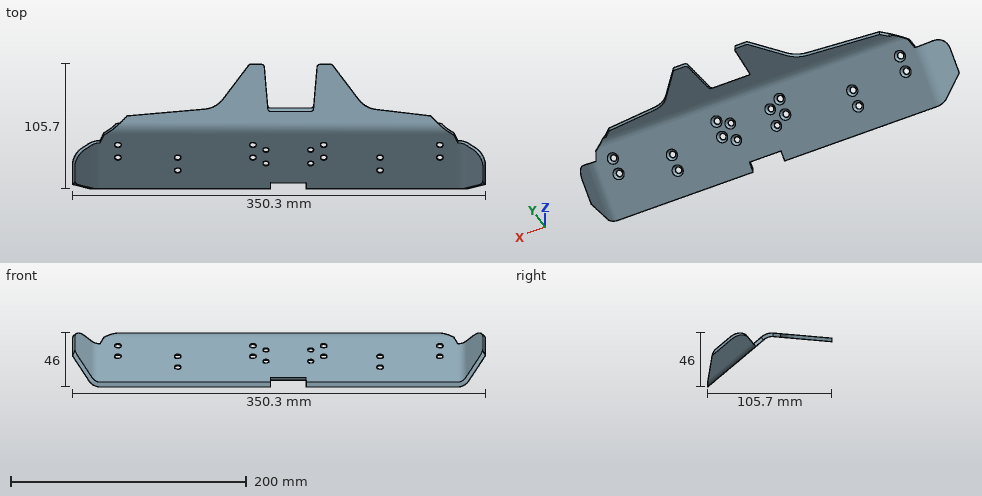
import cadquery as cq
import math


overall_width = 350.34
overall_depth = 105.71
overall_height = 45.98

thickness = 3.2
inner_radius = 10.0
outer_radius = inner_radius + thickness
plate_slope = 40.0
bend_angle = 45.0
flange_drop = bend_angle - plate_slope

half_width = 151.7
notch_width = 30.0
notch_depth = 9.0

prong_center_x = 10.0
bend_end_half = 134.8
shoulder_end_half = 128.7
shoulder_end_y = 6.2
shoulder_root_half = 63.2
shoulder_root_y = 12.8
shoulder_radius = 22.0
prong_outer_half = 35.0
prong_corner_radius = 2.5

slot_floor_y = 79.3
slot_end_y = 112.0
slot_floor_half = 19.3
slot_end_half = 23.2
slot_corner_radius = 2.0

wing_length = 53.5
wing_rear_radius = 11.5
wing_front_radius = 10.0
wing_front_tilt = 9.5

relief_x = 148.5
relief_y = 62.0

hole_diameter = 5.5
small_hole_diameter = 5.0
hole_land = 1.0
upper_row_y = 51.0
middle_row_y = 37.0
lower_row_y = 22.8
inner_row_ys = (45.5, 30.5)
outer_hole_x = 136.5
mid_hole_x = 85.8
cluster_center_x = 8.0
cluster_outer_x = 30.0
cluster_inner_x = 19.0

tool_depth = 60.0
margin = 20.0

slope_sin = math.sin(math.radians(plate_slope))
slope_cos = math.cos(math.radians(plate_slope))
drop_sin = math.sin(math.radians(flange_drop))
drop_cos = math.cos(math.radians(flange_drop))
bend_sin = math.sin(math.radians(bend_angle))
bend_cos = math.cos(math.radians(bend_angle))
half_sin = math.sin(math.radians(bend_angle / 2))
half_cos = math.cos(math.radians(bend_angle / 2))

plate_length = (overall_height - outer_radius + inner_radius * slope_cos) / slope_sin
bend_axis_depth = plate_length * slope_cos + inner_radius * slope_sin
flange_length = (overall_depth - bend_axis_depth - outer_radius * drop_sin) / drop_cos
bend_end_y = plate_length + outer_radius * bend_sin
bend_end_z = outer_radius * bend_cos - inner_radius
nose_top_y = thickness * slope_sin / slope_cos


def arc_point(center, radius, across, along):
    return (center[0] + radius * across, center[1] + radius * along)


def make_plate():
    """Plate and its rear bend, with a nose that stands upright after tilting."""
    center = (plate_length, -inner_radius)
    profile = (
        cq.Workplane("YZ")
        .moveTo(0, 0)
        .lineTo(plate_length, 0)
        .threePointArc(
            arc_point(center, inner_radius, half_sin, half_cos),
            arc_point(center, inner_radius, bend_sin, bend_cos),
        )
        .lineTo(bend_end_y, bend_end_z)
        .threePointArc(
            arc_point(center, outer_radius, half_sin, half_cos),
            (plate_length, thickness),
        )
        .lineTo(nose_top_y, thickness)
        .close()
    )
    return profile.extrude(half_width, both=True)


def corner_relief(side):
    """Tool that trims one rear corner of the plate, square to the plate."""
    slope = (bend_end_y - relief_y) / (relief_x - bend_end_half)
    inner_x = bend_end_half - margin
    inner_y = bend_end_y + slope * margin
    outline = [
        (side * (half_width + margin), wing_length),
        (side * half_width, wing_length),
        (side * relief_x, relief_y),
        (side * inner_x, inner_y),
        (side * (half_width + margin), inner_y),
    ]
    return cq.Workplane("XY").polyline(outline).close().extrude(tool_depth, both=True)


def make_flange():
    """Rear flange, drawn flat and then placed at the end of the rear bend."""
    prong_left = prong_center_x - prong_outer_half
    prong_right = prong_center_x + prong_outer_half
    root_left = prong_center_x - shoulder_root_half
    root_right = prong_center_x + shoulder_root_half
    outline = [
        (-bend_end_half, 0),
        (-shoulder_end_half, shoulder_end_y),
        (root_left, shoulder_root_y),
        (prong_left, flange_length),
        (prong_right, flange_length),
        (root_right, shoulder_root_y),
        (shoulder_end_half, shoulder_end_y),
        (bend_end_half, 0),
    ]
    flange = cq.Workplane("XY").polyline(outline).close().extrude(-thickness)
    flange = flange.edges("|Z and >Y").fillet(prong_corner_radius)
    for root_x in (root_left, root_right):
        root = cq.selectors.NearestToPointSelector((root_x, shoulder_root_y, -thickness / 2))
        flange = flange.edges("|Z").edges(root).fillet(shoulder_radius)
    flange = flange.rotate((0, 0, 0), (1, 0, 0), -bend_angle)
    return flange.translate((0, bend_end_y, bend_end_z))


def make_slot():
    """Tool for the tapered slot between the prongs."""
    outline = [
        (prong_center_x - slot_floor_half, slot_floor_y),
        (prong_center_x + slot_floor_half, slot_floor_y),
        (prong_center_x + slot_end_half, slot_end_y),
        (prong_center_x - slot_end_half, slot_end_y),
    ]
    slot = cq.Workplane("XY").polyline(outline).close().extrude(tool_depth, both=True)
    return slot.edges("|Z and <Y").fillet(slot_corner_radius)


def round_prong_tips(body):
    """Round the prong corners beside the slot."""
    tips = body.faces(">(0, 1, -1)").edges("not |X")
    beside_slot = tips.filter(lambda e: abs(e.Center().x - prong_center_x) < slot_end_half)
    return beside_slot.fillet(prong_corner_radius)


def wing_front_trim(tip_z):
    """Prism along X with the side shape of a wing: leaning front, rounded front tip."""
    front_lean = math.tan(math.radians(plate_slope + wing_front_tilt))
    front_tip_y = nose_top_y + (tip_z - thickness) * front_lean
    outline = [
        (0, 0),
        (wing_length, 0),
        (wing_length, tip_z),
        (front_tip_y, tip_z),
        (nose_top_y, thickness),
    ]
    prism = cq.Workplane("YZ").polyline(outline).close().extrude(overall_width)
    return prism.edges("|X and >Z").edges("<Y").fillet(wing_front_radius)


def make_wing():
    """Right-hand wing with its bend, starting at the edge of the plate."""
    center = (half_width, outer_radius)
    bend_out = arc_point(center, outer_radius, bend_sin, -bend_cos)
    bend_in = arc_point(center, inner_radius, bend_sin, -bend_cos)
    run = overall_width / 2 - bend_out[0]
    rise = run * bend_sin / bend_cos
    tip_z = bend_in[1] + rise
    profile = (
        cq.Workplane("XZ")
        .moveTo(half_width, 0)
        .threePointArc(arc_point(center, outer_radius, half_sin, -half_cos), bend_out)
        .lineTo(bend_out[0] + run, bend_out[1] + rise)
        .lineTo(bend_in[0] + run, tip_z)
        .lineTo(*bend_in)
        .threePointArc(
            arc_point(center, inner_radius, half_sin, -half_cos),
            (half_width, thickness),
        )
        .close()
    )
    wing = profile.extrude(-wing_length)
    wing = wing.faces(">(1, 0, 1)").edges(">Y").fillet(wing_rear_radius)
    return wing.intersect(wing_front_trim(tip_z))


def make_notch():
    """Tool for the notch in the nose, square to the plate."""
    notch = cq.Workplane("XY").center(cluster_center_x, 0)
    return notch.rect(notch_width, 2 * notch_depth).extrude(thickness)


def large_hole_points():
    points = []
    for side in (-1, 1):
        for y in (upper_row_y, middle_row_y):
            points.append((side * outer_hole_x, y))
            points.append((cluster_center_x + side * cluster_outer_x, y))
        for y in (middle_row_y, lower_row_y):
            points.append((side * mid_hole_x, y))
    return points


def small_hole_points():
    points = []
    for side in (-1, 1):
        for y in inner_row_ys:
            points.append((cluster_center_x + side * cluster_inner_x, y))
    return points


def drill(body, points, diameter):
    """Holes through the plate with a 90 degree countersink on the underside."""
    sink_depth = thickness - hole_land
    radius = diameter / 2
    profile = [(0, 0), (radius + sink_depth, 0), (radius, sink_depth), (radius, thickness), (0, thickness)]
    hole = cq.Workplane("XZ").polyline(profile).close().revolve(360, (0, 0), (0, 1))
    for x, y in points:
        body = body.cut(hole.translate((x, y, 0)))
    return body


plate = make_plate()
for side in (-1, 1):
    plate = plate.cut(corner_relief(side))

body = plate.union(make_flange()).cut(make_slot())
body = round_prong_tips(body)

wing = make_wing()
body = body.union(wing).union(wing.mirror("YZ"))

body = body.cut(make_notch())
body = drill(body, large_hole_points(), hole_diameter)
body = drill(body, small_hole_points(), small_hole_diameter)

result = body.rotate((0, 0, 0), (1, 0, 0), plate_slope)